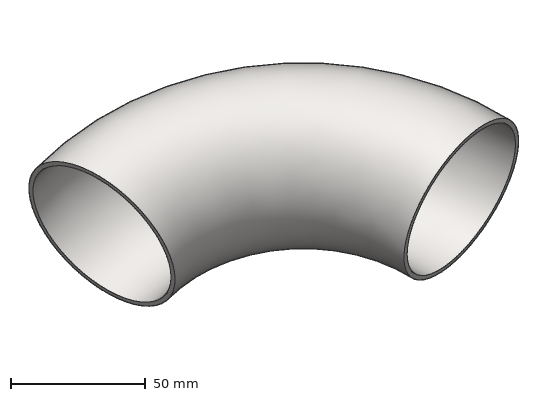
import cadquery as cq

overall_length = 129.5
outer_diameter = 69.0
wall_thickness = 2.0
bend_angle = 90.0

outer_radius = outer_diameter / 2
inner_radius = outer_radius - wall_thickness
bend_radius = overall_length - outer_radius

pipe_section = (
    cq.Workplane("XZ")
    .center(-bend_radius, 0)
    .circle(outer_radius)
    .circle(inner_radius)
)

axis_start = (bend_radius, 0)
axis_end = (bend_radius, -1)
result = pipe_section.revolve(bend_angle, axis_start, axis_end)